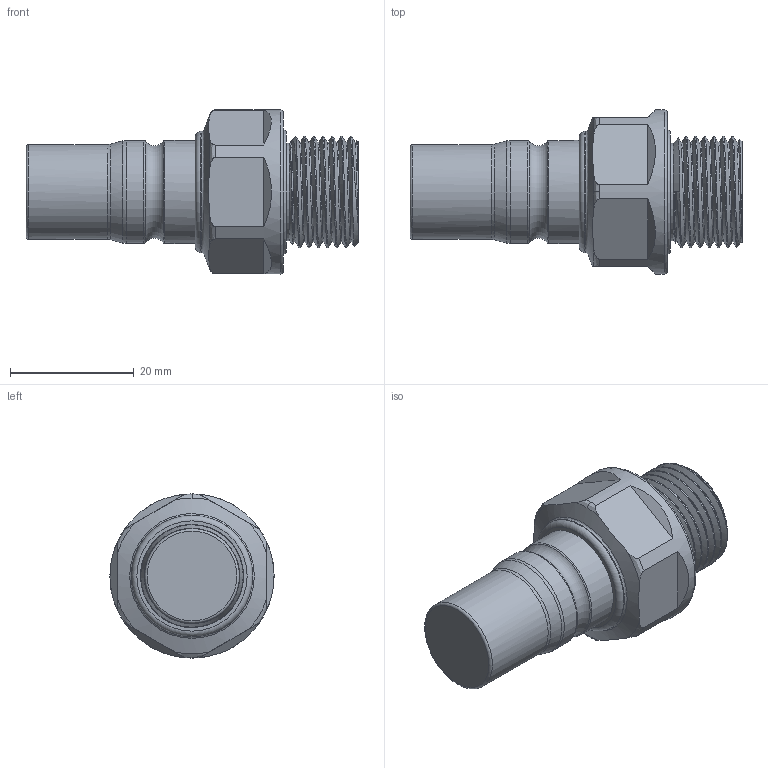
import cadquery as cq
import math


TIP_RADIUS = 7.65
TIP_FILLET = 0.4
TIP_LENGTH = 13.4
SHANK_RADIUS = 8.32
TAPER_END = 15.9
TAPER_FILLET = 2.0

GROOVE_START = 19.2
GROOVE_END = 22.25
GROOVE_FLOOR_RADIUS = 7.45
GROOVE_EDGE_FILLET = 0.3

COLLAR_START = 27.35
COLLAR_RADIUS = 9.8
COLLAR_FILLET = 0.9

CONE_START = 28.66
CONE_ANGLE = math.radians(70)
BODY_RADIUS = 13.25
BODY_FILLET = 1.0
CONE_FOOT_FILLET = 0.4
FLANGE_END = 41.55
FLANGE_FILLET = 0.5
HEX_SIDES = 6
HEX_ACROSS_FLATS = 24.0
FLAT_END = 38.38

SEAT_RADIUS = 10.0
SEAT_LENGTH = 0.5
SEAT_FILLET = 0.45
NECK_RADIUS = 7.9
NECK_LENGTH = 0.45

THREAD_RADIUS = 9.0
PITCH = 1.5
THREAD_DEPTH = 0.92
THREAD_HALF_ANGLE = math.radians(30)
CREST_WIDTH = PITCH / 8
THREAD_TIP_CHAMFER = 0.9
PART_LENGTH = 53.6
THREAD_GROOVE_START = 42.7

EDGE_TOLERANCE = 0.01
CUTTER_CLEARANCE = 0.1


def turn(points):
    """Revolve a closed (x, radius) outline about the X axis."""
    return cq.Workplane("XZ").polyline(points).close().revolve(360, (0, 0, 0), (1, 0, 0))


def fillet_circle(solid, position, radius):
    """Fillet the circular edges at one X position."""
    reach = 2 * BODY_RADIUS
    edges = cq.selectors.BoxSelector(
        (position - EDGE_TOLERANCE, -reach, -reach),
        (position + EDGE_TOLERANCE, reach, reach),
        boundingbox=True,
    )
    return solid.edges(edges).fillet(radius)


def make_tip():
    """Tip cylinder, blended taper and shank, ending where the cone of the body begins."""
    tip = turn([
        (0, 0),
        (0, TIP_RADIUS),
        (TIP_LENGTH, TIP_RADIUS),
        (TAPER_END, SHANK_RADIUS),
        (CONE_START, SHANK_RADIUS),
        (CONE_START, 0),
    ])
    tip = tip.faces("<X").edges().fillet(TIP_FILLET)
    tip = fillet_circle(tip, TIP_LENGTH, TAPER_FILLET)
    return fillet_circle(tip, TAPER_END, TAPER_FILLET)


def cut_locking_groove(tip):
    """Cut the round-bottomed groove and soften its rims."""
    middle = (GROOVE_START + GROOVE_END) / 2
    outer_radius = SHANK_RADIUS + CUTTER_CLEARANCE
    groove = (
        cq.Workplane("XZ")
        .moveTo(GROOVE_START, SHANK_RADIUS)
        .threePointArc((middle, GROOVE_FLOOR_RADIUS), (GROOVE_END, SHANK_RADIUS))
        .lineTo(GROOVE_END, outer_radius)
        .lineTo(GROOVE_START, outer_radius)
        .close()
        .revolve(360, (0, 0, 0), (1, 0, 0))
    )
    tip = tip.cut(groove)
    tip = fillet_circle(tip, GROOVE_START, GROOVE_EDGE_FILLET)
    return fillet_circle(tip, GROOVE_END, GROOVE_EDGE_FILLET)


def make_body():
    """Rounded collar, coned round body and flange, milled to a hexagon."""
    cone_end = CONE_START + (BODY_RADIUS - COLLAR_RADIUS) / math.tan(CONE_ANGLE)
    body = turn([
        (COLLAR_START, 0),
        (COLLAR_START, COLLAR_RADIUS),
        (CONE_START, COLLAR_RADIUS),
        (cone_end, BODY_RADIUS),
        (FLANGE_END, BODY_RADIUS),
        (FLANGE_END, 0),
    ])
    body = body.faces("<X").edges().fillet(COLLAR_FILLET)
    body = body.faces(">X").edges().fillet(FLANGE_FILLET)
    body = fillet_circle(body, CONE_START, CONE_FOOT_FILLET)
    body = fillet_circle(body, cone_end, BODY_FILLET)

    apothem = HEX_ACROSS_FLATS / 2
    cut_height = BODY_RADIUS - apothem + CUTTER_CLEARANCE
    flat_cutter = (
        cq.Workplane("XY")
        .polyline([
            (COLLAR_START, apothem),
            (FLAT_END, apothem),
            (FLAT_END + cut_height, apothem + cut_height),
            (COLLAR_START, apothem + cut_height),
        ])
        .close()
        .extrude(BODY_RADIUS, both=True)
    )
    for side in range(HEX_SIDES):
        body = body.cut(flat_cutter.rotate((0, 0, 0), (1, 0, 0), side * 360 / HEX_SIDES))
    return body


def make_seat():
    """Short round seat behind the flange."""
    seat = turn([
        (FLANGE_END, 0),
        (FLANGE_END, SEAT_RADIUS),
        (FLANGE_END + SEAT_LENGTH, SEAT_RADIUS),
        (FLANGE_END + SEAT_LENGTH, 0),
    ])
    return seat.faces(">X").edges().fillet(SEAT_FILLET)


def make_threaded_end():
    """Neck and thread blank, cut by a right-hand helical V groove."""
    neck_start = FLANGE_END + SEAT_LENGTH
    neck_end = neck_start + NECK_LENGTH
    blank = turn([
        (neck_start, 0),
        (neck_start, NECK_RADIUS),
        (neck_end, NECK_RADIUS),
        (neck_end + THREAD_RADIUS - NECK_RADIUS, THREAD_RADIUS),
        (PART_LENGTH - THREAD_TIP_CHAMFER, THREAD_RADIUS),
        (PART_LENGTH, THREAD_RADIUS - THREAD_TIP_CHAMFER),
        (PART_LENGTH, 0),
    ])

    flank_rise = math.tan(THREAD_HALF_ANGLE)
    half_mouth = (PITCH - CREST_WIDTH) / 2 + CUTTER_CLEARANCE * flank_rise
    half_root = (PITCH - CREST_WIDTH) / 2 - THREAD_DEPTH * flank_rise
    mouth_radius = THREAD_RADIUS + CUTTER_CLEARANCE
    root_radius = THREAD_RADIUS - THREAD_DEPTH
    helix_length = PART_LENGTH + PITCH - THREAD_GROOVE_START
    helix = cq.Wire.makeHelix(PITCH, helix_length, root_radius)
    groove = (
        cq.Workplane("XZ")
        .polyline([
            (root_radius, -half_root),
            (mouth_radius, -half_mouth),
            (mouth_radius, half_mouth),
            (root_radius, half_root),
        ])
        .close()
        .sweep(cq.Workplane(obj=helix), isFrenet=True)
        .rotate((0, 0, 0), (0, 0, 1), 180)
        .rotate((0, 0, 0), (0, 1, 0), 90)
        .translate((THREAD_GROOVE_START, 0, 0))
    )
    bar_length = helix_length + 2 * PITCH
    bar = cq.Workplane("YZ", origin=(neck_start, 0, 0)).circle(THREAD_RADIUS).extrude(bar_length)
    return bar.cut(groove).intersect(blank)


result = (
    cut_locking_groove(make_tip())
    .union(make_body())
    .union(make_seat())
    .union(make_threaded_end())
)